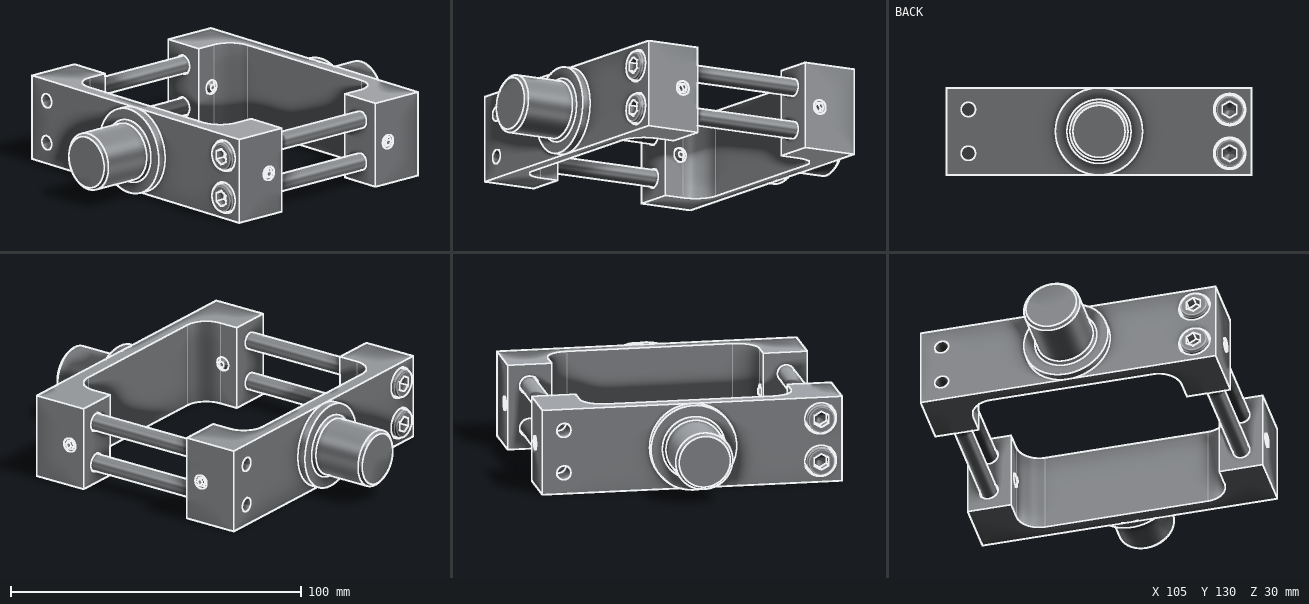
import cadquery as cq
import math


length_x = 105.0
height_z = 30.0
trunnion_end_y = 65.0

yoke_outer_y = 42.0
yoke_inner_y = 22.0
web_thickness = 4.8
opening_half_x = 37.0
opening_corner_radius = 8.0

flange_diameter = height_z
flange_height = 3.0
journal_diameter = 20.0
journal_end_chamfer = 1.0
journal_base_chamfer = 1.0

screw_x = 45.0
screw_z = 7.5
shank_diameter = 6.0
clearance_diameter = 6.6
tapped_diameter = 5.0
tapped_open_depth = 9.6
head_diameter = 10.0
head_height = 6.0
head_protrusion = 1.5
head_edge_radius = 0.6
head_top_y = -yoke_outer_y - head_protrusion
head_seat_y = head_top_y + head_height
counterbore_diameter = 11.0
head_socket_flats = 5.0
head_socket_depth = 3.6

set_screw_y = 28.0
set_screw_diameter = 5.0
set_screw_recess_depth = 0.3
set_screw_socket_flats = 3.0
set_screw_socket_depth = 2.0
set_screw_tip_diameter = 2.0
set_screw_tip_protrusion = 0.6
set_screw_tip_length = 0.8

socket_cone_half_angle = math.radians(60)


def rod_y(diameter, start_y, end_y, x=0.0, z=0.0):
    """Cylinder along Y between two positions."""
    base = cq.Vector(x, start_y, z)
    direction = cq.Vector(0, end_y - start_y, 0)
    return cq.Workplane(cq.Solid.makeCylinder(diameter / 2, abs(end_y - start_y), base, direction))


def hex_socket(flats, depth, plane):
    """Hexagon cutter along the plane normal, with a conical bottom."""
    corner_radius = flats / math.sqrt(3)
    cone_depth = corner_radius / math.tan(socket_cone_half_angle)
    prism = (
        cq.Workplane(plane)
        .polygon(6, 2 * corner_radius)
        .extrude(depth + cone_depth)
    )
    drill = (
        cq.Workplane(cq.Plane(plane.origin, plane.zDir, plane.xDir))
        .polyline([(0, 0), (0, corner_radius), (depth, corner_radius), (depth + cone_depth, 0)])
        .close()
        .revolve(360, (0, 0), (1, 0))
    )
    return prism.intersect(drill)


def yoke_block():
    """U-shaped yoke on the -Y side, opening toward +Y."""
    leg_length = yoke_outer_y - yoke_inner_y
    web_inner_y = yoke_outer_y - web_thickness
    block = (
        cq.Workplane("XY")
        .box(length_x, leg_length, height_z)
        .translate((0, -(yoke_outer_y + yoke_inner_y) / 2, 0))
    )
    opening = (
        cq.Workplane("XY")
        .box(2 * opening_half_x, 2 * web_inner_y, height_z)
        .edges("|Z")
        .fillet(opening_corner_radius)
    )
    return block.cut(opening)


def trunnion():
    """Flanged journal on the -Y face of the yoke."""
    flange_face_y = yoke_outer_y + flange_height
    journal_radius = journal_diameter / 2
    profile = [
        (0, -yoke_outer_y),
        (flange_diameter / 2, -yoke_outer_y),
        (flange_diameter / 2, -flange_face_y),
        (journal_radius + journal_base_chamfer, -flange_face_y),
        (journal_radius, -flange_face_y - journal_base_chamfer),
        (journal_radius, -trunnion_end_y + journal_end_chamfer),
        (journal_radius - journal_end_chamfer, -trunnion_end_y),
        (0, -trunnion_end_y),
    ]
    return cq.Workplane("XY").polyline(profile).close().revolve(360, (0, 0), (0, 1))


def cap_screw(z):
    """Socket head cap screw entering from the -Y side at +X."""
    shank_end_y = yoke_outer_y - tapped_open_depth
    head = rod_y(head_diameter, head_top_y, head_seat_y, screw_x, z)
    head = head.faces("<Y").edges().fillet(head_edge_radius)
    socket_plane = cq.Plane((screw_x, head_top_y, z), (0, 0, 1), (0, 1, 0))
    socket = hex_socket(head_socket_flats, head_socket_depth, socket_plane)
    shank = rod_y(shank_diameter, head_seat_y, shank_end_y, screw_x, z)
    return head.union(shank).cut(socket)


def screw_holes(z):
    """Counterbored clearance hole in the +X leg and tapped hole in the -X leg."""
    counterbore = rod_y(counterbore_diameter, -yoke_outer_y, head_seat_y, screw_x, z)
    clearance = rod_y(clearance_diameter, -yoke_outer_y, -yoke_inner_y, screw_x, z)
    tapped = rod_y(tapped_diameter, -yoke_outer_y, -yoke_inner_y, -screw_x, z)
    return counterbore.union(clearance).union(tapped)


def set_screw_recess(side):
    """Cutters in one leg: the sunk socket end of the screw and the bore left open around its tip."""
    outer_plane = cq.Plane((side * length_x / 2, -set_screw_y, 0), (0, 1, 0), (-side, 0, 0))
    socket_end = cq.Workplane(outer_plane).circle(set_screw_diameter / 2).extrude(set_screw_recess_depth)
    socket = hex_socket(
        set_screw_socket_flats,
        set_screw_recess_depth + set_screw_socket_depth,
        outer_plane,
    )
    inner_plane = cq.Plane((side * opening_half_x, -set_screw_y, 0), (0, 1, 0), (side, 0, 0))
    bore = cq.Workplane(inner_plane).circle(set_screw_diameter / 2).extrude(set_screw_tip_length)
    return socket_end.union(socket).union(bore)


def set_screw_tip(side):
    """Truncated cone point of the set screw, standing slightly proud of the inner leg face."""
    tip_x = side * (opening_half_x - set_screw_tip_protrusion)
    length = set_screw_tip_protrusion + set_screw_tip_length
    point = cq.Solid.makeCone(
        set_screw_tip_diameter / 2,
        set_screw_diameter / 2,
        length,
        cq.Vector(tip_x, -set_screw_y, 0),
        cq.Vector(side, 0, 0),
    )
    return cq.Workplane(point)


def half_turn(shape):
    """The shape turned 180 degrees about Z, onto the opposite yoke."""
    return shape.rotate((0, 0, 0), (0, 0, 1), 180)


yoke = yoke_block().union(trunnion())
for z in (-screw_z, screw_z):
    yoke = yoke.cut(screw_holes(z))
for side in (-1, 1):
    yoke = yoke.cut(set_screw_recess(side)).union(set_screw_tip(side))

result = yoke.union(half_turn(yoke))
for z in (-screw_z, screw_z):
    screw = cap_screw(z)
    result = result.union(screw).union(half_turn(screw))